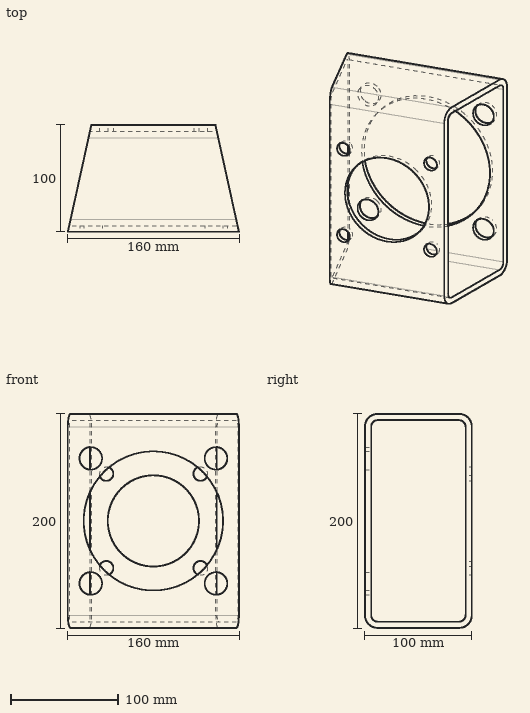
import cadquery as cq

front_width = 160.0
back_width = 116.0
depth = 100.0
height = 200.0

wall = 6.0
outer_radius = 12.0
inner_radius = outer_radius - wall

front_opening_diameter = 130.0
front_bolt_diameter = 21.0
front_bolt_spacing = 116.8

back_opening_diameter = 85.0
back_bolt_diameter = 13.0
back_bolt_spacing = 88.0

front_y = -depth / 2
back_y = depth / 2


def rounded_bar(bar_depth, bar_height, radius):
    """Solid bar along X with its four long edges rounded."""
    return cq.Workplane("XY").box(front_width, bar_depth, bar_height).edges("|X").fillet(radius)


def make_tube():
    """Rectangular tube, open at both X ends."""
    outside = rounded_bar(depth, height, outer_radius)
    inside = rounded_bar(depth - 2 * wall, height - 2 * wall, inner_radius)
    return outside.cut(inside)


def make_taper():
    """Trapezoidal prism that mitres both tube ends towards the back."""
    corners = [
        (-front_width / 2, front_y),
        (front_width / 2, front_y),
        (back_width / 2, back_y),
        (-back_width / 2, back_y),
    ]
    return cq.Workplane("XY").polyline(corners).close().extrude(height / 2, both=True)


def plate_cutters(outer_face_y, opening_diameter, bolt_diameter, bolt_spacing):
    """Central opening and four bolt holes, centred on one plate and passing only through it."""
    plane = cq.Workplane("XZ", origin=(0, outer_face_y, 0))
    opening = plane.circle(opening_diameter / 2).extrude(wall, both=True)
    bolts = (
        plane.rect(bolt_spacing, bolt_spacing, forConstruction=True)
        .vertices()
        .circle(bolt_diameter / 2)
        .extrude(wall, both=True)
    )
    return opening.union(bolts)


front_cutters = plate_cutters(front_y, front_opening_diameter, front_bolt_diameter, front_bolt_spacing)
back_cutters = plate_cutters(back_y, back_opening_diameter, back_bolt_diameter, back_bolt_spacing)

result = make_tube().intersect(make_taper()).cut(front_cutters).cut(back_cutters)